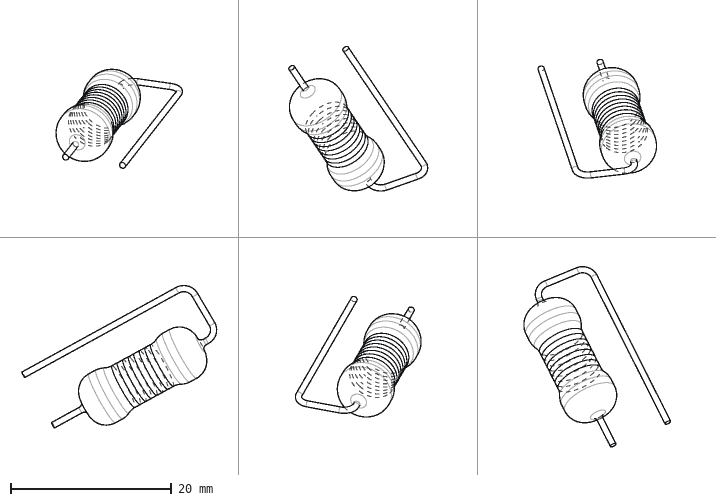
import cadquery as cq

wire_diameter = 0.8
wire_radius = wire_diameter / 2
overall_length = 24.1
lead_pitch = 7.5
bend_radius = 1.6
wire_top = overall_length - wire_radius

cap_radius = 3.5
waist_diameter = 5.95
waist_radius = waist_diameter / 2
body_start = 4.6
body_length = 16.53
end_round = 2.45
cap_flat = 1.01
shoulder_length = 2.02
face_radius = cap_radius - end_round

flare_length = 0.7

band_radius = 3.0
band_count = 4
waist_length = body_length - 2 * (end_round + cap_flat + shoulder_length)
band_width = waist_length / (2 * band_count - 1)
band_pitch = 2 * band_width

body_middle = body_start + body_length / 2


def make_half_body():
    """Half of the body, from the lower lead flare to the middle of the waist."""
    cap_start = body_start + end_round
    cap_end = cap_start + cap_flat
    shoulder_middle = cap_end + shoulder_length / 2
    shoulder_end = cap_end + shoulder_length
    middle_radius = (cap_radius + waist_radius) / 2
    drop = (cap_radius - waist_radius) / 2
    run = shoulder_length / 2
    shoulder_arc = (run**2 + drop**2) / (2 * drop)
    diagonal = 0.5**0.5
    round_mid = (face_radius + end_round * diagonal, cap_start - end_round * diagonal)
    flare_width = face_radius - wire_radius
    flare_mid = (
        face_radius - flare_width * diagonal,
        body_start - flare_length + flare_length * diagonal,
    )
    return (
        cq.Workplane("XY")
        .moveTo(0, body_start - flare_length)
        .lineTo(wire_radius, body_start - flare_length)
        .threePointArc(flare_mid, (face_radius, body_start))
        .threePointArc(round_mid, (cap_radius, cap_start))
        .lineTo(cap_radius, cap_end)
        .radiusArc((middle_radius, shoulder_middle), -shoulder_arc)
        .radiusArc((waist_radius, shoulder_end), shoulder_arc)
        .lineTo(waist_radius, body_middle)
        .lineTo(0, body_middle)
        .close()
        .revolve(360, (0, 0, 0), (0, 1, 0))
    )


def make_band(centre_y):
    """Disc on the body axis, centred at the given position along Y."""
    return (
        cq.Workplane("XZ", origin=(0, centre_y + band_width / 2, 0))
        .circle(band_radius)
        .extrude(band_width)
    )


def make_short_lead():
    """Straight lead running from the lower tip into the body."""
    return cq.Workplane("XZ").circle(wire_radius).extrude(-body_middle)


def make_bent_lead():
    """Lead leaving the upper end, turning over and running back beside the body."""
    bend_start = wire_top - bend_radius
    path = (
        cq.Workplane("XY")
        .moveTo(0, body_middle)
        .lineTo(0, bend_start)
        .radiusArc((bend_radius, wire_top), bend_radius)
        .lineTo(lead_pitch - bend_radius, wire_top)
        .radiusArc((lead_pitch, bend_start), bend_radius)
        .lineTo(lead_pitch, 0)
    )
    return cq.Workplane("XZ", origin=(0, body_middle, 0)).circle(wire_radius).sweep(path)


half_body = make_half_body()
result = half_body.union(half_body.mirror("XZ", (0, body_middle, 0)))
for index in range(band_count):
    offset = (index - (band_count - 1) / 2) * band_pitch
    result = result.union(make_band(body_middle + offset))
result = result.union(make_short_lead()).union(make_bent_lead())